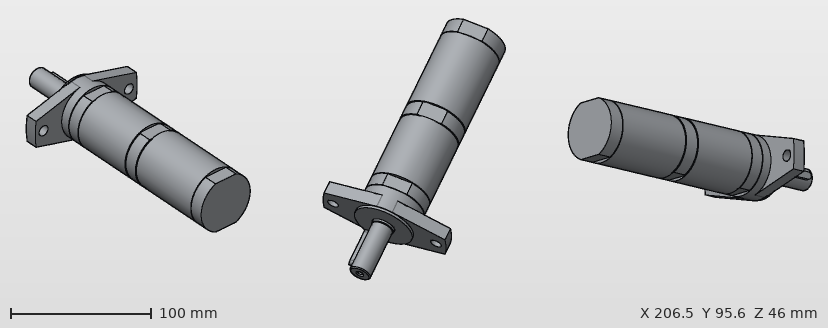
import cadquery as cq
import math

collar_front = 39.9
body_front = 42.0
flange_front = 44.0
flange_back = 53.9
body_back = 206.5

shaft_diameter = 16.0
shaft_chamfer = 0.8
collar_front_diameter = 16.3
collar_diameter = 17.0
collar_chamfer = 0.52
key_start = 4.0
key_length = 30.1
key_width = 5.4
key_top = 10.3
key_bottom = 5.4
centre_hole_diameter = 4.1
centre_sink_diameter = 6.0
centre_hole_depth = 10.3
drill_tip_angle = 118.0

body_diameter = 46.0
pilot_diameter = 45.0
seal_recess_diameter = 17.5
seal_recess_depth = 1.0
neck_width = 0.5
front_neck_diameter = 38.5
rear_neck_diameter = 38.0
middle_neck_diameter = 45.0
rear_neck_overlap = 0.25

across_flats = 42.0
front_flats = (61.5, 71.7)
middle_flats = (123.0, 135.0)
rear_flats = (195.3, body_back)

flange_length = 95.6
flange_taper = 15.0
flange_end_bulge = 0.8
mount_hole_spacing = 80.0
mount_hole_diameter = 8.3


def cylinder(start, end, diameter):
    """Solid cylinder on the X axis."""
    return cq.Workplane("YZ").workplane(offset=start).circle(diameter / 2).extrude(end - start)


def make_shaft():
    collar_back = body_front + seal_recess_depth
    shaft = cylinder(0, collar_front, shaft_diameter).faces("<X").chamfer(shaft_chamfer)
    collar = (
        cq.Workplane("XY")
        .moveTo(collar_front, 0)
        .lineTo(collar_front, collar_front_diameter / 2)
        .lineTo(collar_front + collar_chamfer, collar_diameter / 2)
        .lineTo(collar_back, collar_diameter / 2)
        .lineTo(collar_back, 0)
        .close()
        .revolve(360, (0, 0, 0), (1, 0, 0))
    )
    key = (
        cq.Workplane("XZ", origin=(key_start + key_length / 2, key_top, 0))
        .slot2D(key_length, key_width)
        .extrude(key_top - key_bottom)
    )
    return shaft.union(collar).union(key)


def make_centre_hole():
    """Countersunk blind hole with a conical drill tip, as a cutting tool."""
    hole_radius = centre_hole_diameter / 2
    sink_radius = centre_sink_diameter / 2
    tip_length = hole_radius / math.tan(math.radians(drill_tip_angle / 2))
    return (
        cq.Workplane("XY")
        .moveTo(0, 0)
        .lineTo(0, sink_radius)
        .lineTo(sink_radius - hole_radius, hole_radius)
        .lineTo(centre_hole_depth, hole_radius)
        .lineTo(centre_hole_depth + tip_length, 0)
        .close()
        .revolve(360, (0, 0, 0), (1, 0, 0))
    )


def make_flange():
    """Plate whose tapered edges run tangent to the round housing."""
    radius = body_diameter / 2
    taper = math.radians(flange_taper)
    tangent_y = radius * math.sin(taper)
    tangent_z = radius * math.cos(taper)
    end_y = flange_length / 2
    corner_y = end_y - flange_end_bulge
    corner_z = tangent_z - (corner_y - tangent_y) * math.tan(taper)
    return (
        cq.Workplane("YZ")
        .workplane(offset=flange_front)
        .moveTo(-tangent_y, tangent_z)
        .lineTo(tangent_y, tangent_z)
        .lineTo(corner_y, corner_z)
        .threePointArc((end_y, 0), (corner_y, -corner_z))
        .lineTo(tangent_y, -tangent_z)
        .lineTo(-tangent_y, -tangent_z)
        .lineTo(-corner_y, -corner_z)
        .threePointArc((-end_y, 0), (-corner_y, corner_z))
        .close()
        .pushPoints([(-mount_hole_spacing / 2, 0), (mount_hole_spacing / 2, 0)])
        .circle(mount_hole_diameter / 2)
        .extrude(flange_back - flange_front)
    )


def cut_flats(body, band):
    """Cut a parallel pair of flats, above and below, over one band of the housing."""
    start, end = band
    length = end - start
    flatted = cq.Workplane("XY").box(length, body_diameter, across_flats)
    cutter = cq.Workplane("XY").box(length, body_diameter, 2 * body_diameter).cut(flatted)
    return body.cut(cutter.translate(((start + end) / 2, 0, 0)))


def cut_neck(body, start, diameter):
    """Cut a narrow groove around the housing."""
    end = start + neck_width
    return body.cut(cylinder(start, end, 2 * body_diameter).cut(cylinder(start, end, diameter)))


def make_pilot():
    """Locating boss with a shallow clearance recess around the shaft collar."""
    recess = cylinder(body_front, body_front + seal_recess_depth, seal_recess_diameter)
    return cylinder(body_front, flange_front, pilot_diameter).cut(recess)


def make_body():
    body = cylinder(flange_front, body_back, body_diameter)
    for band in (front_flats, middle_flats, rear_flats):
        body = cut_flats(body, band)
    necks = [
        (front_flats[0], front_neck_diameter),
        (front_flats[1], front_neck_diameter),
        (middle_flats[0], middle_neck_diameter),
        (middle_flats[1] - neck_width, middle_neck_diameter),
        (rear_flats[0] - rear_neck_overlap, rear_neck_diameter),
    ]
    for start, diameter in necks:
        body = cut_neck(body, start, diameter)
    return body.union(make_pilot())


result = make_body().union(make_flange()).union(make_shaft()).cut(make_centre_hole())